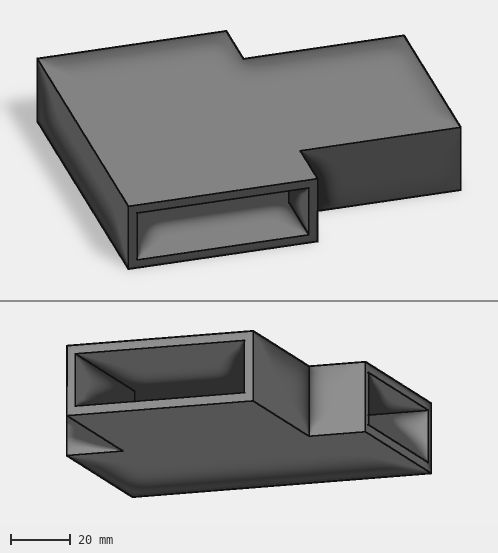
import cadquery as cq

run_length = 106.0
total_depth = 122.0
height = 24.0
duct_width = 66.0
wall = 3.0

bore_width = duct_width - 2 * wall
bore_height = height - 2 * wall
run_center_y = (duct_width - total_depth) / 2
branch_length = total_depth - duct_width / 2
branch_center_y = (total_depth - branch_length) / 2


def tee(width, thickness):
    """Solid tee with both arms of the given width and thickness."""
    run = cq.Workplane("XY").box(run_length, width, thickness)
    branch = cq.Workplane("XY").box(width, branch_length, thickness)
    return run.translate((0, run_center_y, 0)).union(branch.translate((0, branch_center_y, 0)))


outside = tee(duct_width, height)
passages = tee(bore_width, bore_height)
result = outside.cut(passages)